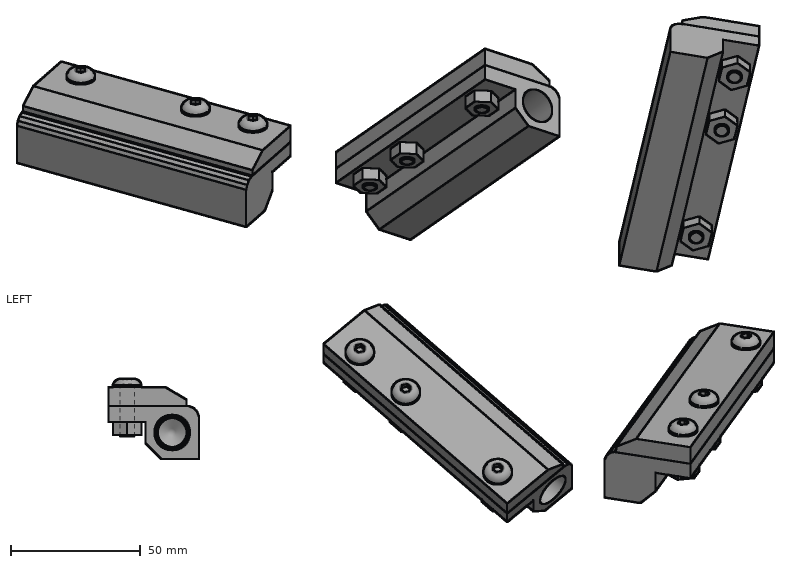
import cadquery as cq
import math

length = 101.6
depth = 35.0

flange_bottom = 14.2
joint_z = 20.5
block_depth = 20.7
bottom_chamfer = 6.1
front_edge_size = 4.0
front_facet_count = 3

bore_y = 10.4
bore_z = 10.3
mouth_radius = 6.86
taper_end_radius = 6.3
taper_length = 17.8
drill_radius = 5.6
drill_depth = 91.4
drill_point_angle = 118.0

cap_front_y = 4.8
cap_thickness = 7.2
cap_nose_height = 2.4
cap_slope_depth = 8.1

screw_pitch = 25.4
screw_slots = (0, 2, 3)
first_screw_x = screw_pitch / 2
screw_y = 27.7
shank_radius = 2.8
tip_projection = 0.6
tip_chamfer = 0.4
head_radius = 5.6
head_height = 3.4
head_rim_height = 0.8
head_flat_radius = 2.4
socket_across_flats = 3.4
socket_depth = 2.0
nut_across_flats = 11.1
nut_height = 5.0

cap_top = joint_z + cap_thickness
nut_bottom = flange_bottom - nut_height
tip_z = nut_bottom - tip_projection
head_top = cap_top + head_height
screw_xs = [first_screw_x + slot * screw_pitch for slot in screw_slots]
screw_points = [(x, screw_y) for x in screw_xs]


def across_corners(across_flats):
    """Corner-to-corner size of a hexagon."""
    return across_flats / math.cos(math.radians(30))


def drill_screw_holes(body):
    """Cut the shank clearance through a body at every screw position."""
    holes = cq.Workplane("XY").pushPoints(screw_points).circle(shank_radius).extrude(cap_top)
    return body.cut(holes)


def make_bore():
    """Tapered mouth followed by a drilled hole with a conical end, along +X."""
    point_length = drill_radius / math.tan(math.radians(drill_point_angle / 2))
    half_profile = (
        cq.Workplane("XY")
        .polyline([
            (0, 0),
            (0, mouth_radius),
            (taper_length, taper_end_radius),
            (taper_length, drill_radius),
            (drill_depth, drill_radius),
            (drill_depth + point_length, 0),
        ])
        .close()
    )
    return half_profile.revolve(360, (0, 0, 0), (1, 0, 0)).translate((0, bore_y, bore_z))


def front_edge_points():
    """Corners of the upper front edge: equal facets turning evenly from upright to level."""
    turn = math.radians(90 / (front_facet_count + 1))
    angles = [turn * step for step in range(1, front_facet_count + 1)]
    facet_length = front_edge_size / sum(math.sin(angle) for angle in angles)
    y = 0
    z = joint_z - front_edge_size
    points = [(y, z)]
    for angle in angles:
        y += facet_length * math.sin(angle)
        z += facet_length * math.cos(angle)
        points.append((y, z))
    return points


def make_housing():
    """L-shaped bar with a faceted front edge, a bevelled lower edge and an air bore."""
    section = cq.Workplane("YZ").polyline([
        (0, 0),
        *front_edge_points(),
        (depth, joint_z),
        (depth, flange_bottom),
        (block_depth, flange_bottom),
        (block_depth, bottom_chamfer),
        (block_depth - bottom_chamfer, 0),
    ]).close()
    return drill_screw_holes(section.extrude(length).cut(make_bore()))


def make_cap():
    """Flat plate with a sloped front, clamped on top of the housing."""
    section = cq.Workplane("YZ").polyline([
        (cap_front_y, joint_z),
        (depth, joint_z),
        (depth, cap_top),
        (cap_front_y + cap_slope_depth, cap_top),
        (cap_front_y, joint_z + cap_nose_height),
    ]).close()
    return drill_screw_holes(section.extrude(length))


def make_screw(x):
    """Button-head screw with a hex socket, its tip just below the nut."""
    dome_width = head_radius - head_flat_radius
    dome_height = head_height - head_rim_height
    dome_radius = (dome_width**2 + dome_height**2) / (2 * dome_height)
    half_angle = math.asin(dome_width / dome_radius) / 2
    dome_middle = (
        head_flat_radius + dome_radius * math.sin(half_angle),
        head_top - dome_radius * (1 - math.cos(half_angle)),
    )
    half_profile = (
        cq.Workplane("XZ")
        .moveTo(0, tip_z)
        .lineTo(shank_radius - tip_chamfer, tip_z)
        .lineTo(shank_radius, tip_z + tip_chamfer)
        .lineTo(shank_radius, cap_top)
        .lineTo(head_radius, cap_top)
        .lineTo(head_radius, cap_top + head_rim_height)
        .threePointArc(dome_middle, (head_flat_radius, head_top))
        .lineTo(0, head_top)
        .close()
    )
    screw = half_profile.revolve(360, (0, 0, 0), (0, 1, 0))
    socket = (
        cq.Workplane("XY", origin=(0, 0, head_top - socket_depth))
        .polygon(6, across_corners(socket_across_flats))
        .extrude(socket_depth)
    )
    return screw.cut(socket).translate((x, screw_y, 0))


def make_nut(x):
    """Plain hex nut against the underside of the flange."""
    return (
        cq.Workplane("XY", origin=(x, screw_y, nut_bottom))
        .polygon(6, across_corners(nut_across_flats))
        .circle(shank_radius)
        .extrude(nut_height)
    )


housing = make_housing()
cap = make_cap()
screws = [make_screw(x).val() for x in screw_xs]
nuts = [make_nut(x).val() for x in screw_xs]

result = cq.Compound.makeCompound([housing.val(), cap.val(), *screws, *nuts])